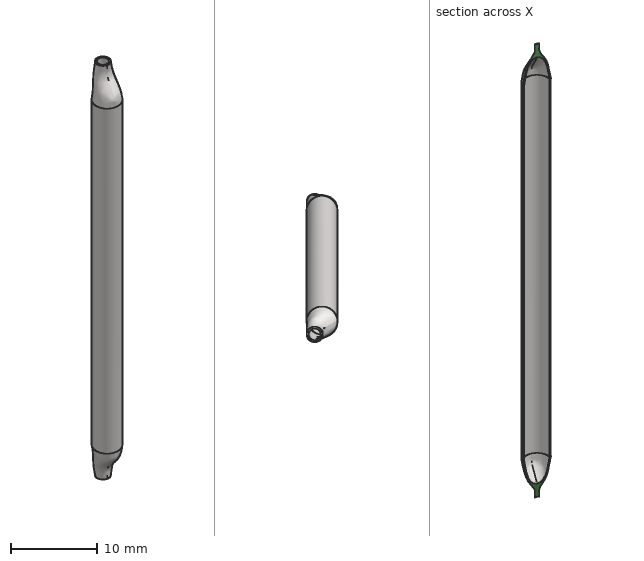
import cadquery as cq
import math

TOTAL_LENGTH = 60.0
TUBE_DIAMETER = 3.6
NECK_DIAMETER = 1.85
WALL = 0.25
CAP_LENGTH = 5.0

BEND_START = 0.12
BEND_END = 0.78
SECTION_COUNT = 9

TUBE_LENGTH = TOTAL_LENGTH - 2 * CAP_LENGTH
TUBE_RADIUS = TUBE_DIAMETER / 2


def bend_blend(fraction):
    """Rise smoothly from 0 at the bend start to 1 at the bend end."""
    progress = (fraction - BEND_START) / (BEND_END - BEND_START)
    progress = min(max(progress, 0.0), 1.0)
    return (1 - math.cos(math.pi * progress)) / 2


def cap_section(fraction, inset):
    """Elliptical section of a cap, moved inward from the outer surface by inset."""
    reduction = TUBE_DIAMETER - NECK_DIAMETER
    depth = TUBE_DIAMETER - reduction * bend_blend(fraction)
    width = TUBE_DIAMETER - reduction * fraction
    center_x = (depth - TUBE_DIAMETER) / 2
    height = TUBE_LENGTH / 2 + fraction * CAP_LENGTH
    return cq.Wire.makeEllipse(
        depth / 2 - inset,
        width / 2 - inset,
        cq.Vector(center_x, 0, height),
        cq.Vector(0, 0, 1),
        cq.Vector(1, 0, 0),
    )


def cap_loft(inset):
    """Solid lofted through the cap sections from the tube end to the neck."""
    fractions = [i / (SECTION_COUNT - 1) for i in range(SECTION_COUNT)]
    return cq.Solid.makeLoft([cap_section(f, inset) for f in fractions])


def make_tube():
    """Straight middle tube, centred on the origin."""
    return (
        cq.Workplane("XY")
        .workplane(offset=-TUBE_LENGTH / 2)
        .circle(TUBE_RADIUS)
        .circle(TUBE_RADIUS - WALL)
        .extrude(TUBE_LENGTH)
    )


def make_end_cap(at_top):
    """Hollow cap narrowing to an offset neck, at the top or bottom tube end."""
    cap = cq.Workplane(obj=cap_loft(0)).cut(cq.Workplane(obj=cap_loft(WALL)))
    return cap if at_top else cap.mirror("XY")


tube = make_tube()
end_caps = [make_end_cap(at_top) for at_top in (True, False)]

result = cq.Compound.makeCompound([tube.val(), *[cap.val() for cap in end_caps]])